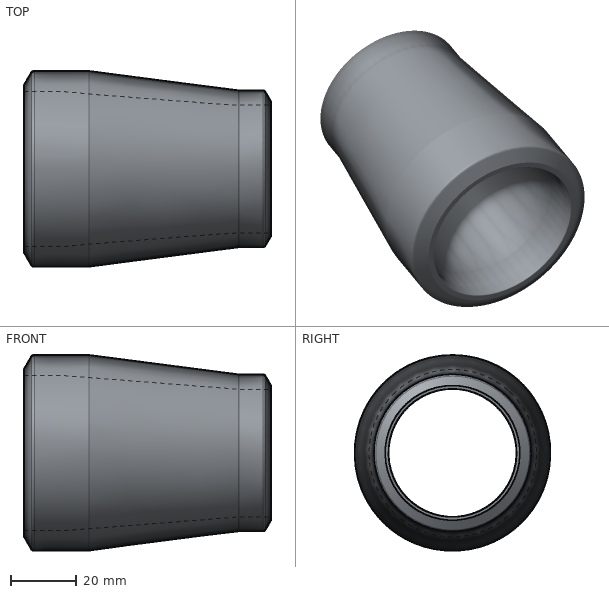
import cadquery as cq
import math

length = 76.0
large_radius = 60.3 / 2
large_bore_radius = 47.7 / 2
small_radius = 48.3 / 2
small_bore_radius = 39.3 / 2

large_length = 20.0
small_length = 10.0
large_bore_length = 12.0

bevel_angle = 30.0
large_land = 1.9
small_land = 1.1
edge_radius = 1.0
bore_edge_radius = 0.3


def bevel_depth(outer_radius, face_radius):
    """Axial length of a weld bevel."""
    return (outer_radius - face_radius) * math.tan(math.radians(bevel_angle))


def round_edges(body, x, radius, fillet_radius):
    """Round the circular edge of the given radius at position x."""
    margin = 0.04
    edge_box = cq.selectors.BoxSelector(
        (x - margin, -radius - margin, -radius - margin),
        (x + margin, radius + margin, radius + margin),
        boundingbox=True,
    )
    circle = cq.selectors.RadiusNthSelector(-1)
    return body.edges(edge_box).edges(circle).fillet(fillet_radius)


large_face_radius = large_bore_radius + large_land
small_face_radius = small_bore_radius + small_land
large_bevel_end = bevel_depth(large_radius, large_face_radius)
small_bevel_start = length - bevel_depth(small_radius, small_face_radius)
neck_x = length - small_length

body = (
    cq.Workplane("XZ")
    .polyline([
        (0, large_bore_radius),
        (0, large_face_radius),
        (large_bevel_end, large_radius),
        (large_length, large_radius),
        (neck_x, small_radius),
        (small_bevel_start, small_radius),
        (length, small_face_radius),
        (length, small_bore_radius),
        (neck_x, small_bore_radius),
        (large_bore_length, large_bore_radius),
    ])
    .close()
    .revolve(360, (0, 0, 0), (1, 0, 0))
)

body = round_edges(body, large_bevel_end, large_radius, edge_radius)
body = round_edges(body, neck_x, small_radius, edge_radius)
body = round_edges(body, small_bevel_start, small_radius, edge_radius)
body = round_edges(body, 0, large_bore_radius, bore_edge_radius)

result = body